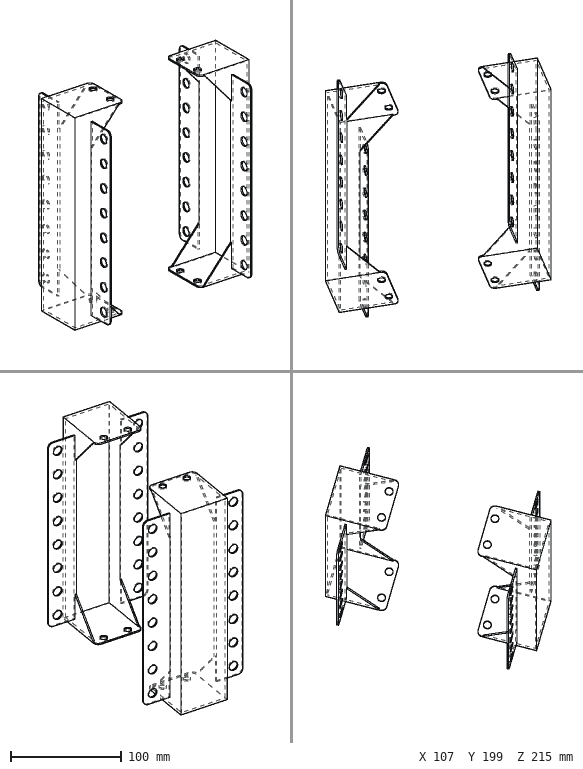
import cadquery as cq

height = 215.0
overall_depth = 199.0

sheet = 1.5
channel_width = 50.0
channel_depth = 20.0

cap_depth = 56.5
cap_corner_radius = 5.0
cap_hole_diameter = 7.0
cap_hole_spacing = 26.0
cap_hole_edge_distance = 6.9
gusset_depth = 50.5
gusset_height = 36.0

flange_span = 107.0
flange_end_gap = 9.5
flange_height = height - 2 * flange_end_gap
flange_corner_radius = 5.0
flange_hole_diameter = 9.0
flange_hole_spacing = 87.0
flange_hole_rows = 8
flange_hole_end_distance = 10.5
flange_hole_pitch = (flange_height - 2 * flange_hole_end_distance) / (flange_hole_rows - 1)



def make_back_wall():
    return cq.Workplane("XY").box(channel_width, sheet, height, centered=(True, False, True))


def make_side_wall(side):
    """Channel side wall with a triangular gusset at each end; side is -1 or 1."""
    cap_underside = height / 2 - sheet
    gusset_foot = height / 2 - gusset_height
    outline = [
        (0, -cap_underside),
        (gusset_depth, -cap_underside),
        (channel_depth, -gusset_foot),
        (channel_depth, gusset_foot),
        (gusset_depth, cap_underside),
        (0, cap_underside),
    ]
    wall_center = side * (channel_width - sheet) / 2
    return (
        cq.Workplane("YZ")
        .polyline(outline)
        .close()
        .extrude(sheet / 2, both=True)
        .translate((wall_center, 0, 0))
    )


def make_cap(end):
    """End plate with two rounded free corners and two holes; end is -1 or 1."""
    cap = (
        cq.Workplane("XY")
        .box(channel_width, cap_depth, sheet, centered=(True, False, True))
        .edges("|Z and >Y")
        .fillet(cap_corner_radius)
    )
    holes = (
        cq.Workplane("XY")
        .center(0, cap_depth - cap_hole_edge_distance)
        .rarray(cap_hole_spacing, 2.2, 2, 1)
        .circle(cap_hole_diameter / 2)
        .extrude(sheet, both=True)
    )
    return cap.cut(holes).translate((0, 0, end * (height - sheet) / 2))


def make_flange(side):
    """Side flange with rounded outer corners, flush with the channel mouth; side is -1 or 1."""
    flange_inner = channel_width / 2 - sheet
    flange_width = flange_span / 2 - flange_inner
    return (
        cq.Workplane("XY")
        .box(flange_width, sheet, flange_height)
        .translate((side * (flange_inner + flange_width / 2), channel_depth - sheet / 2, 0))
        .edges("|Y and >X" if side > 0 else "|Y and <X")
        .fillet(flange_corner_radius)
    )


def make_flange_holes():
    return (
        cq.Workplane("XZ", origin=(0, channel_depth, 0))
        .rarray(flange_hole_spacing, flange_hole_pitch, 2, flange_hole_rows)
        .circle(flange_hole_diameter / 2)
        .extrude(sheet)
    )


def make_bracket():
    bracket = make_back_wall()
    for direction in (-1, 1):
        bracket = bracket.union(make_side_wall(direction))
        bracket = bracket.union(make_cap(direction))
        bracket = bracket.union(make_flange(direction))
    return bracket.cut(make_flange_holes())


front_bracket = make_bracket().translate((0, -overall_depth / 2, 0))
brackets = [front_bracket, front_bracket.rotate((0, 0, 0), (0, 0, 1), 180)]

result = cq.Compound.makeCompound([bracket.val() for bracket in brackets])